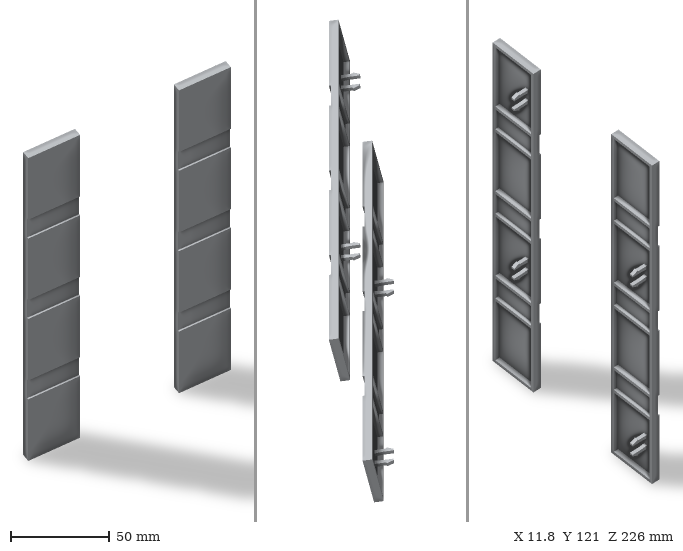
import cadquery as cq

plate_length = 226.0
plate_width = 31.0
plate_thickness = 5.0
overall_width = 121.0
plate_spacing = overall_width - plate_width

tall_count = 4
short_count = tall_count - 1
rib = 2.0
short_pocket_height = 14.0
tall_pocket_depth = 3.0
short_pocket_depth = 2.0
pocket_width = plate_width - 2 * rib
wall_count = tall_count + short_count + 1
tall_pocket_height = (
    plate_length - wall_count * rib - short_count * short_pocket_height
) / tall_count
pitch = tall_pocket_height + short_pocket_height + 2 * rib

notch_depth = 1.0

overall_depth = 11.8
hook_reach = overall_depth - plate_thickness
hook_width = 2.15
hook_gap = 5.9
hook_arm = 2.0
hook_tip = 1.1
barb_height = 0.7
barb_peak = 3.5
barb_foot = 3.0
root_flare = 0.5
flare_start = 1.0
hook_edge_offset = 8.1

left_hooked_pockets = (0, 2)
right_hooked_pockets = (1, 3)


def tall_pocket_z(index):
    """Centre height of a tall pocket, counted from the top."""
    return ((tall_count - 1) / 2 - index) * pitch


def short_pocket_z(index):
    """Centre height of the short pocket below the tall pocket of the same index."""
    return tall_pocket_z(index) - pitch / 2


def make_block(x_start, x_size, y_size, z_size, z_centre=0):
    """Block running from x_start towards +X, centred on Y = 0."""
    return (
        cq.Workplane("XY")
        .box(x_size, y_size, z_size, centered=(False, True, True))
        .translate((x_start, 0, z_centre))
    )


def cut_pockets(plate):
    """Sink the tall and short pockets into the -X face."""
    for index in range(tall_count):
        pocket = make_block(0, tall_pocket_depth, pocket_width, tall_pocket_height, tall_pocket_z(index))
        plate = plate.cut(pocket)
    for index in range(short_count):
        pocket = make_block(0, short_pocket_depth, pocket_width, short_pocket_height, short_pocket_z(index))
        plate = plate.cut(pocket)
    return plate


def cut_notches(plate):
    """Cut the full-width notches into the +X face."""
    notch_floor = plate_thickness - notch_depth
    for index in range(short_count):
        notch = make_block(notch_floor, notch_depth, plate_width, short_pocket_height, short_pocket_z(index))
        plate = plate.cut(notch)
    return plate


def make_hook(z_centre, side):
    """One hook of a pair about z_centre; side is +1 for the upper hook and -1 for the lower one."""
    inner = hook_gap / 2
    outer = inner + hook_arm
    profile = [
        (tall_pocket_depth, inner - root_flare),
        (-flare_start, inner),
        (-hook_reach, inner),
        (-hook_reach, inner + hook_tip),
        (-barb_peak, outer + barb_height),
        (-barb_foot, outer),
        (tall_pocket_depth, outer),
    ]
    hook_y = hook_edge_offset - plate_width / 2
    return (
        cq.Workplane("XZ")
        .polyline([(x, z_centre + side * z) for x, z in profile])
        .close()
        .extrude(hook_width / 2, both=True)
        .translate((0, hook_y, 0))
    )


def make_plate(y_centre, hooked_pockets):
    """Plate with pockets, notches and a hook pair in each of the listed tall pockets."""
    plate = make_block(0, plate_thickness, plate_width, plate_length)
    plate = cut_pockets(plate)
    plate = cut_notches(plate)
    for index in hooked_pockets:
        for side in (1, -1):
            plate = plate.union(make_hook(tall_pocket_z(index), side))
    return plate.translate((0, y_centre, 0))


left_plate = make_plate(plate_spacing / 2, left_hooked_pockets)
right_plate = make_plate(-plate_spacing / 2, right_hooked_pockets)

result = cq.Compound.makeCompound([left_plate.solids().val(), right_plate.solids().val()])